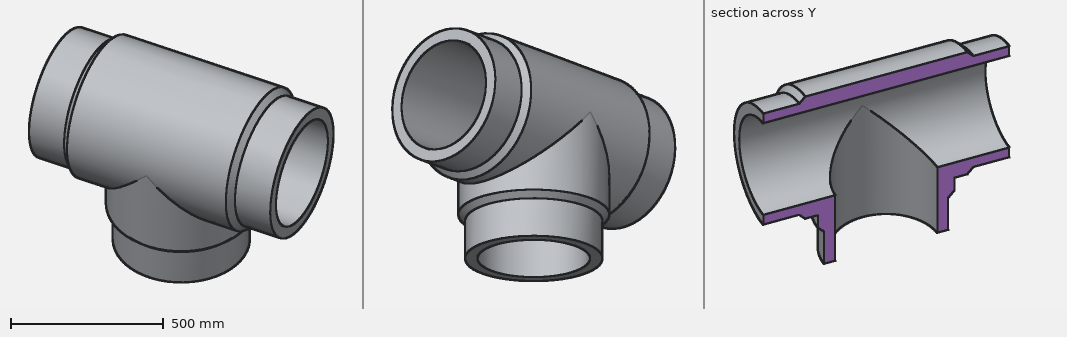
import cadquery as cq

run_length = 890.0
branch_reach = 450.0
body_diameter = 495.0
spigot_diameter = 450.0
bore_diameter = 368.5
spigot_length = 130.0

half_run = run_length / 2
shoulder_bevel = (body_diameter - spigot_diameter) / 2


def arm(direction, reach):
    """Solid arm from the tee centre: thick body, 45 degree shoulder, thinner spigot."""
    shoulder_end = reach - spigot_length
    body_radius = body_diameter / 2
    spigot_radius = spigot_diameter / 2
    profile = (
        cq.Workplane("XZ")
        .polyline([
            (0, 0),
            (body_radius, 0),
            (body_radius, shoulder_end - shoulder_bevel),
            (spigot_radius, shoulder_end),
            (spigot_radius, reach),
            (0, reach),
        ])
        .close()
    )
    upright = profile.revolve(360, (0, 0, 0), (0, 1, 0))
    return cq.Workplane(upright.val().moved(cq.Plane((0, 0, 0), normal=direction).location))


run = arm((1, 0, 0), half_run).union(arm((-1, 0, 0), half_run))
tee = run.union(arm((0, 0, -1), branch_reach))

run_bore = cq.Workplane("YZ").circle(bore_diameter / 2).extrude(half_run, both=True)
branch_bore = cq.Workplane("XY").circle(bore_diameter / 2).extrude(-branch_reach)

result = tee.cut(run_bore).cut(branch_bore).clean()